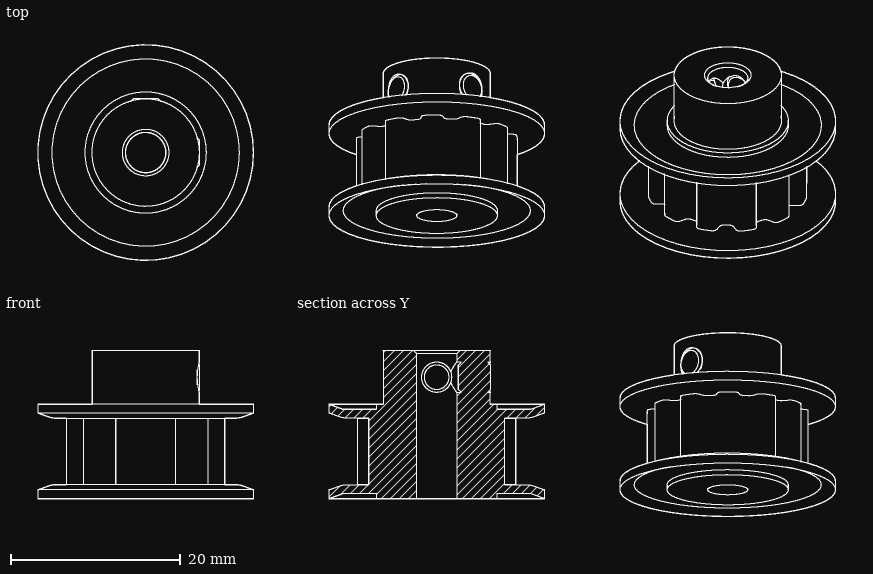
import cadquery as cq
import math


flange_diameter = 25.4
total_height = 17.48
body_height = 11.15

flange_radius = flange_diameter / 2
flange_thickness = 1.07
dish_angle = 20.0
dish_floor_radius = 11.02
inner_flat_radius = 10.55
bend_end_radius = 11.45

tooth_count = 12
tip_radius = 9.47
root_distance = 8.0
groove_floor_width = 1.32
groove_half_angle = 25.0
tooth_rounding = 0.6
groove_overcut = 0.25

hub_radius = 6.32
collar_radius = 7.15
bore_radius = 2.35
bore_chamfer = 0.38

screw_radius = 1.78
screw_inner_end = 2.55
screw_outer_end = 6.35
screw_chamfer = 0.33
screw_directions = ((1, 0, 0), (0, 1, 0))

dish_slope = math.tan(math.radians(dish_angle))
dish_depth = (flange_radius - dish_floor_radius) * dish_slope


def disc(radius, z_bottom, z_top):
    return cq.Workplane("XY").workplane(offset=z_bottom).circle(radius).extrude(z_top - z_bottom)


def lower_flange():
    """Revolve the dished section; the recess opens downwards."""
    bend_width = bend_end_radius - inner_flat_radius
    bend_radius = bend_width / math.sin(math.radians(dish_angle))
    half_angle = math.radians(dish_angle / 2)
    bend_end_z = flange_thickness + (flange_radius - bend_end_radius) * dish_slope
    inner_face_z = bend_end_z + bend_width * math.tan(half_angle)
    bend_middle = (
        inner_flat_radius + bend_radius * math.sin(half_angle),
        inner_face_z - bend_radius * (1 - math.cos(half_angle)),
    )
    return (
        cq.Workplane("XZ")
        .moveTo(0, dish_depth)
        .lineTo(dish_floor_radius, dish_depth)
        .lineTo(flange_radius, 0)
        .lineTo(flange_radius, flange_thickness)
        .lineTo(bend_end_radius, bend_end_z)
        .threePointArc(bend_middle, (inner_flat_radius, inner_face_z))
        .lineTo(0, inner_face_z)
        .close()
        .revolve(360, (0, 0, 0), (0, 1, 0))
    )


def toothed_core():
    """Disc with tapered grooves whose root and tip corners are rounded."""
    z_bottom = dish_depth
    z_top = body_height - dish_depth
    half_floor = groove_floor_width / 2
    groove_mouth = tip_radius + groove_overcut
    half_mouth = half_floor + (groove_mouth - root_distance) * math.tan(math.radians(groove_half_angle))
    groove = (
        cq.Workplane("XY")
        .workplane(offset=z_bottom)
        .polyline([
            (root_distance, -half_floor),
            (groove_mouth, -half_mouth),
            (groove_mouth, half_mouth),
            (root_distance, half_floor),
        ])
        .close()
        .extrude(z_top - z_bottom)
    )
    core = disc(tip_radius, z_bottom, z_top)
    for index in range(tooth_count):
        core = core.cut(groove.rotate((0, 0, 0), (0, 0, 1), index * 360 / tooth_count))
    return core.edges("|Z").fillet(tooth_rounding)


def bore():
    chamfer_cone = cq.Solid.makeCone(
        bore_radius,
        bore_radius + bore_chamfer,
        bore_chamfer,
        cq.Vector(0, 0, total_height - bore_chamfer),
    )
    return disc(bore_radius, 0, total_height).union(cq.Workplane(chamfer_cone))


def radial_cylinder(direction, start, end):
    """Cylinder of the screw size at mid-height of the hub, pointing outwards."""
    hub_middle_z = (body_height + total_height) / 2
    plane = cq.Plane(origin=(0, 0, hub_middle_z), xDir=(0, 0, 1), normal=direction)
    return cq.Workplane(plane).workplane(offset=start).circle(screw_radius).extrude(end - start)


lower = lower_flange()
upper = lower.mirror("XY").translate((0, 0, body_height))
result = (
    toothed_core()
    .union(lower)
    .union(upper)
    .union(disc(collar_radius, 0, body_height))
    .union(disc(hub_radius, body_height, total_height))
    .cut(bore())
)

for screw_direction in screw_directions:
    result = result.cut(radial_cylinder(screw_direction, 0, flange_radius))
for screw_direction in screw_directions:
    set_screw = radial_cylinder(screw_direction, screw_inner_end, screw_outer_end)
    result = result.union(set_screw.edges().chamfer(screw_chamfer))